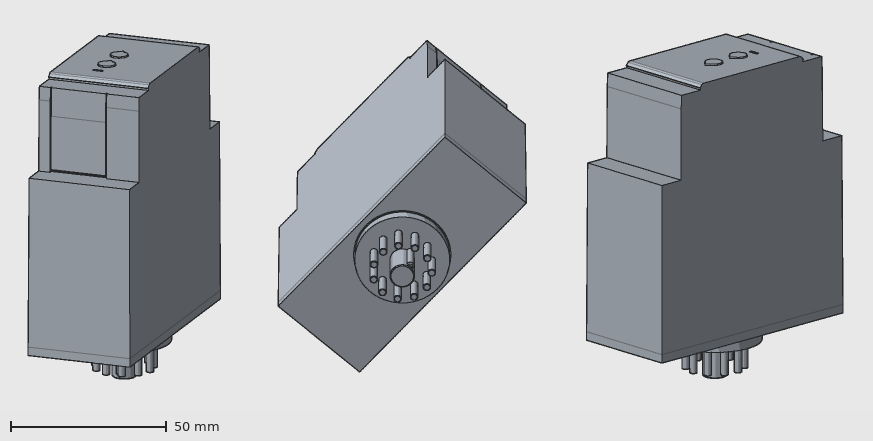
import cadquery as cq
import math

POST_TIP_Z = 0.0
KEY_TIP_Z = 1.5
PIN_TIP_Z = 2.8
FLANGE_BOTTOM_Z = 12.3
PLATE_BOTTOM_Z = 16.3
HOUSING_BOTTOM_Z = 19.2
STEP_Z = 75.8
SHOULDER_Z = 104.1
DECK_Z = 106.2
TOP_Z = 106.6

WIDTH = 35.1
DEPTH = 80.4
DRAFT = 0.25
HEAD_BASE_HALF_DEPTH = 31.5
HEAD_BREAK_HALF_DEPTH = 31.3
HEAD_TOP_HALF_DEPTH = 31.1
HEAD_BREAK_Z = 99.7

DECK_HALF_DEPTH = 23.0
DECK_OVERHANG = 0.3
BEVEL = 1.0
BEVEL_ROUND_RADIUS = 1.2

DOOR_LEFT_X = -13.3
DOOR_RIGHT_X = 6.1
DOOR_BREAK_Z = 94.7
DOOR_GAP = 0.3
DOOR_GAP_DEPTH = 1.1
DOOR_UNDERCUT = 0.6

KNOB_X = -3.1
KNOB_RADIUS = 3.0
KNOB_POINTER_REACH = 3.9
KNOB_YS = (3.4, -7.5)
KNOB_TAPER = 20.0
LAMP_X = -3.6
LAMP_Y = -14.0
LAMP_LENGTH = 3.2
LAMP_WIDTH = 0.7
LAMP_RECESS = 0.2

FLANGE_DIAMETER = 30.5
LIP_DIAMETER = 31.2
LIP_HEIGHT = 0.3
PIN_COUNT = 11
PIN_DIAMETER = 2.5
PIN_CIRCLE_RADIUS = 9.5
PIN_CHAMFER = 0.2
POST_DIAMETER = 7.9
POST_CHAMFER = 0.3
KEY_DIAMETER = 2.5
KEY_Y = -3.8
KEY_CHAMFER = 0.4


def cylinder(diameter, bottom, top, x=0.0, y=0.0):
    """Upright cylinder between two levels."""
    base = cq.Workplane("XY", origin=(x, y, bottom))
    return base.circle(diameter / 2).extrude(top - bottom)


def box(x_range, y_range, z_range):
    """Box given by its limits along each axis."""
    corner = (x_range[0], y_range[0], z_range[0])
    size = [limits[1] - limits[0] for limits in (x_range, y_range, z_range)]
    return cq.Workplane("XY", origin=corner).box(*size, centered=False)


def lower_housing():
    """Base plate with straight sides and the drafted block above it."""
    plate = (
        cq.Workplane("XY", origin=(0, 0, PLATE_BOTTOM_Z))
        .rect(WIDTH, DEPTH)
        .extrude(HOUSING_BOTTOM_Z - PLATE_BOTTOM_Z)
    )
    block = (
        cq.Workplane("XY", origin=(0, 0, HOUSING_BOTTOM_Z))
        .rect(WIDTH, DEPTH)
        .extrude(STEP_Z - HOUSING_BOTTOM_Z, taper=DRAFT)
    )
    return plate.union(block)


def head():
    """Narrower upper part: a depth profile run across the width, with drafted sides."""
    bevel_angle = math.radians(45)
    round_run = BEVEL_ROUND_RADIUS * math.sin(bevel_angle)
    round_drop = BEVEL_ROUND_RADIUS * (1 - math.cos(bevel_angle))
    round_mid_run = BEVEL_ROUND_RADIUS * math.sin(bevel_angle / 2)
    round_mid_drop = BEVEL_ROUND_RADIUS * (1 - math.cos(bevel_angle / 2))
    bevel_top_y = DECK_HALF_DEPTH - BEVEL
    flat_end_y = bevel_top_y - round_run
    bevel_top_z = DECK_Z - round_drop

    profile = (
        cq.Workplane("YZ", origin=(-WIDTH / 2, 0, 0))
        .moveTo(0, HOUSING_BOTTOM_Z)
        .lineTo(HEAD_BASE_HALF_DEPTH, HOUSING_BOTTOM_Z)
        .lineTo(HEAD_BASE_HALF_DEPTH, STEP_Z)
        .lineTo(HEAD_BREAK_HALF_DEPTH, HEAD_BREAK_Z)
        .lineTo(HEAD_TOP_HALF_DEPTH, SHOULDER_Z)
        .lineTo(DECK_HALF_DEPTH - DECK_OVERHANG, SHOULDER_Z)
        .lineTo(DECK_HALF_DEPTH - DECK_OVERHANG, bevel_top_z - BEVEL)
        .lineTo(DECK_HALF_DEPTH, bevel_top_z - BEVEL)
        .lineTo(bevel_top_y, bevel_top_z)
        .threePointArc((flat_end_y + round_mid_run, DECK_Z - round_mid_drop), (flat_end_y, DECK_Z))
        .lineTo(0, DECK_Z)
        .mirrorY()
        .extrude(WIDTH)
    )
    drafted_sides = (
        cq.Workplane("XY", origin=(0, 0, HOUSING_BOTTOM_Z))
        .rect(WIDTH, DEPTH)
        .extrude(DECK_Z - HOUSING_BOTTOM_Z, taper=DRAFT)
    )
    return profile.intersect(drafted_sides)


def door_opening():
    """Slot in the front of the head that the door fills apart from its gaps."""
    back_y = DOOR_GAP_DEPTH - HEAD_BASE_HALF_DEPTH
    return box((DOOR_LEFT_X, DOOR_RIGHT_X), (-DEPTH / 2, back_y), (STEP_Z, SHOULDER_Z))


def door():
    """Door slab with an upright lower face, a leaning upper face and an undercut bottom edge."""
    back_y = DOOR_GAP_DEPTH - HEAD_BASE_HALF_DEPTH
    bottom_z = STEP_Z + DOOR_GAP
    left_x = DOOR_LEFT_X + DOOR_GAP
    right_x = DOOR_RIGHT_X - DOOR_GAP
    outline = [
        (back_y, bottom_z),
        (DOOR_UNDERCUT - HEAD_BASE_HALF_DEPTH, bottom_z),
        (-HEAD_BASE_HALF_DEPTH, bottom_z + DOOR_UNDERCUT),
        (-HEAD_BASE_HALF_DEPTH, DOOR_BREAK_Z),
        (-HEAD_TOP_HALF_DEPTH, SHOULDER_Z),
        (back_y, SHOULDER_Z),
    ]
    return cq.Workplane("YZ", origin=(left_x, 0, 0)).polyline(outline).close().extrude(right_x - left_x)


def knob(y):
    """Round knob with tapered sides and a square-cornered pointer aiming along +Y."""
    root_x = (KNOB_POINTER_REACH - math.sqrt(2 * KNOB_RADIUS**2 - KNOB_POINTER_REACH**2)) / 2
    root_y = KNOB_POINTER_REACH - root_x
    return (
        cq.Workplane("XY", origin=(KNOB_X, y, DECK_Z))
        .moveTo(-root_x, root_y)
        .threePointArc((0, -KNOB_RADIUS), (root_x, root_y))
        .lineTo(0, KNOB_POINTER_REACH)
        .close()
        .extrude(TOP_Z - DECK_Z, taper=KNOB_TAPER)
    )


def lamp_window():
    """Shallow rectangular recess for the indicator lamp."""
    base = cq.Workplane("XY", origin=(LAMP_X, LAMP_Y, DECK_Z))
    return base.rect(LAMP_LENGTH, LAMP_WIDTH).extrude(-LAMP_RECESS)


def plug_base():
    """Round flange with a thin lip, a ring of pins and a keyed guide post."""
    base = cylinder(FLANGE_DIAMETER, FLANGE_BOTTOM_Z, PLATE_BOTTOM_Z)
    base = base.union(cylinder(LIP_DIAMETER, PLATE_BOTTOM_Z - LIP_HEIGHT, PLATE_BOTTOM_Z))

    for index in range(PIN_COUNT):
        angle = math.radians(90 + index * 360 / PIN_COUNT)
        x = PIN_CIRCLE_RADIUS * math.cos(angle)
        y = PIN_CIRCLE_RADIUS * math.sin(angle)
        pin = cylinder(PIN_DIAMETER, PIN_TIP_Z, FLANGE_BOTTOM_Z, x, y)
        base = base.union(pin.faces("<Z").chamfer(PIN_CHAMFER))

    post = cylinder(POST_DIAMETER, POST_TIP_Z, FLANGE_BOTTOM_Z).faces("<Z").chamfer(POST_CHAMFER)
    key = cylinder(KEY_DIAMETER, KEY_TIP_Z, FLANGE_BOTTOM_Z, y=KEY_Y).faces("<Z").chamfer(KEY_CHAMFER)
    return base.union(post).union(key)


result = lower_housing().union(head()).cut(door_opening()).union(door())
for knob_y in KNOB_YS:
    result = result.union(knob(knob_y))
result = result.cut(lamp_window()).union(plug_base())